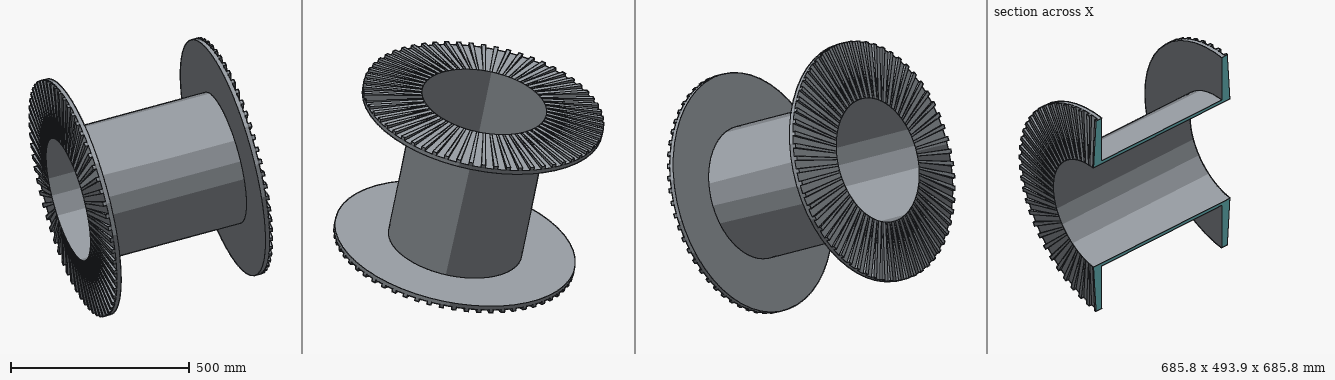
import cadquery as cq

overall_length = 493.89
flange_diameter = 685.8
drum_diameter = 381.0
bore_diameter = 355.6
drum_length = 431.8
rim_thickness = 12.7
rib_rim_height = 8.89
rib_count = 60
rib_angle = 2.0

flange_radius = flange_diameter / 2
drum_radius = drum_diameter / 2
bore_radius = bore_diameter / 2
half_length = overall_length / 2
flange_inner_y = drum_length / 2
rim_y = flange_inner_y + rim_thickness
rib_rim_y = rim_y + rib_rim_height
rib_pitch = 360 / rib_count


def revolve_about_axis(profile, angle=360):
    """Revolve a closed (radius, y) profile about the reel axis."""
    return cq.Workplane("XY").polyline(profile).close().revolve(angle, (0, 0), (0, 1))


def make_body():
    """Hollow drum with two flanges whose outer faces are shallow cones."""
    profile = [
        (bore_radius, -half_length),
        (flange_radius, -rim_y),
        (flange_radius, -flange_inner_y),
        (drum_radius, -flange_inner_y),
        (drum_radius, flange_inner_y),
        (flange_radius, flange_inner_y),
        (flange_radius, rim_y),
        (bore_radius, half_length),
    ]
    return revolve_about_axis(profile)


def make_rib():
    """One radial rib on the +Y flange, centred on the +X direction."""
    profile = [
        (bore_radius, half_length),
        (flange_radius, rib_rim_y),
        (flange_radius, rim_y),
    ]
    rib = revolve_about_axis(profile, rib_angle)
    return rib.rotate((0, 0, 0), (0, 1, 0), -rib_angle / 2)


def add_ribs(body):
    """Place the ring of ribs on both flanges and fuse it with the body."""
    outer_rib = make_rib()
    ribs = []
    for rib in (outer_rib, outer_rib.mirror("XZ")):
        for index in range(rib_count):
            ribs.append(rib.rotate((0, 0, 0), (0, 1, 0), index * rib_pitch).val())
    return cq.Workplane(body.val().fuse(*ribs).clean())


result = add_ribs(make_body())